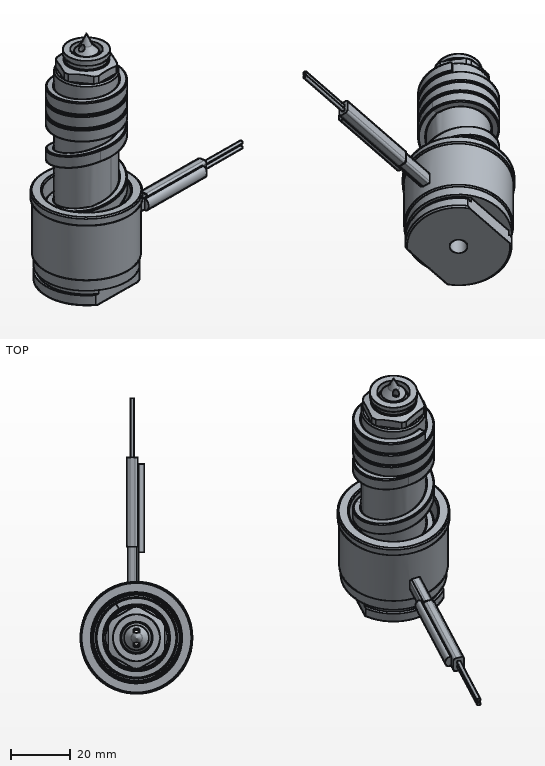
import cadquery as cq
import math

foot_radius = 18.0
foot_bevel = 0.6
lip_top = 4.2
undercut_radius = 17.0
shoulder_bottom = 6.1
flat_offset = 14.0

cup_radius = 18.5
cup_bottom = 10.1
cup_floor = 10.5
cup_top = 35.2
cup_bore_radius = 15.0
cup_edge = 0.5
collar_radius = 19.0
collar_bottom = 31.7

stem_radius = 11.0
stem_top = 82.3
stem_bevel = 0.6

hex_across_flats = 19.0
hex_turned_radius = 10.5
hex_rim_height = 85.2
hex_cone_height = 86.1

neck_radius = 7.5
neck_flare = 0.3
head_radius = 8.0
head_bottom = 88.1
head_top = 90.1
recess_radius = 5.5
recess_floor = 87.0

torpedo_foot_radius = 5.1
torpedo_radius = 4.2
torpedo_shoulder = 89.5
tip_base_radius = 1.9
tip_base = 92.1
tip_top = 96.2

bore_radius = 3.0
bore_top = 88.5
outlet_diameter = 2.2
outlet_offset = 2.4
outlet_height = 91.3
outlet_tilt = 20.0
outlet_reach = 4.5

coil_outer_radius = 13.8
coil_embed = 0.2
coil_root_radius = stem_radius - coil_embed
coil_band_height = 4.9
coil_edge = 0.4
coil_end_angle = 121.0
coil_end_height = 77.2
close_pitch = 5.3
open_pitch = 22.3
change_pitch = 15.0
change_turns = 1 / 3
coil_stretches = [
    (3 + 1 / 12, close_pitch),
    (change_turns, change_pitch),
    (1.03, open_pitch),
    (change_turns, change_pitch),
    (2.3, close_pitch),
]

lead_z = 17.2
cable_x = -1.4
cable_width = 3.2
cable_height = 5.2
cable_edge = 0.7
sleeve_width = 3.8
sleeve_height = 6.0
sleeve_edge = 1.0
sleeve_start = 30.8
sleeve_end = 61.0
wire_diameter = 1.3
wire_spacing = 1.9
lead_root = 16.5
overall_length = 100.0
wire_end = overall_length - collar_radius
sensor_x = 0.3
sensor_width = 1.1
sensor_height = 4.4
sensor_edge = 0.5
sensor_sleeve_x = 1.2
sensor_sleeve_width = 2.9
sensor_sleeve_height = 4.3
sensor_sleeve_start = 28.9
sensor_sleeve_end = 58.8


def revolve_profile(points):
    """Revolve an (r, z) outline about the Z axis."""
    return cq.Workplane("XZ").polyline(points).close().revolve(360, (0, 0), (0, 1))


def make_foot():
    foot = revolve_profile([
        (0, 0),
        (foot_radius - foot_bevel, 0),
        (foot_radius, foot_bevel),
        (foot_radius, lip_top),
        (undercut_radius, lip_top),
        (undercut_radius, shoulder_bottom),
        (0, shoulder_bottom),
    ])
    flats = cq.Workplane("XY").rect(2 * flat_offset, 2 * foot_radius).extrude(shoulder_bottom)
    return foot.intersect(flats)


def make_cup():
    return revolve_profile([
        (0, shoulder_bottom),
        (foot_radius, shoulder_bottom),
        (foot_radius, cup_bottom),
        (cup_radius, cup_bottom + cup_edge),
        (cup_radius, collar_bottom),
        (collar_radius, collar_bottom + cup_edge),
        (collar_radius, cup_top - cup_edge),
        (collar_radius - cup_edge, cup_top),
        (cup_bore_radius + cup_edge, cup_top),
        (cup_bore_radius, cup_top - cup_edge),
        (cup_bore_radius, cup_floor + cup_edge),
        (cup_bore_radius - cup_edge, cup_floor),
        (0, cup_floor),
    ])


def make_stem():
    return revolve_profile([
        (0, cup_floor),
        (stem_radius, cup_floor),
        (stem_radius, stem_top - stem_bevel),
        (stem_radius - stem_bevel, stem_top),
        (0, stem_top),
    ])


def make_hex():
    corner_diameter = hex_across_flats / math.cos(math.radians(30))
    prism = (
        cq.Workplane("XY", origin=(0, 0, stem_top))
        .transformed(rotate=(0, 0, 90))
        .polygon(6, corner_diameter)
        .extrude(hex_cone_height - stem_top)
    )
    turned = revolve_profile([
        (0, stem_top),
        (hex_turned_radius, stem_top),
        (hex_turned_radius, hex_rim_height),
        (neck_radius, hex_cone_height),
        (0, hex_cone_height),
    ])
    return prism.intersect(turned)


def make_head():
    return revolve_profile([
        (0, stem_top),
        (neck_radius + neck_flare, stem_top),
        (neck_radius + neck_flare, hex_cone_height),
        (neck_radius, hex_cone_height + neck_flare),
        (neck_radius, head_bottom - neck_flare),
        (head_radius, head_bottom),
        (head_radius, head_top),
        (recess_radius, head_top),
        (recess_radius, recess_floor),
        (torpedo_foot_radius, recess_floor),
        (torpedo_radius, torpedo_shoulder),
        (tip_base_radius, tip_base),
        (0, tip_top),
    ])


def make_coil_stretch(turns, pitch, top_angle, top_height):
    """Sweep one constant-pitch stretch of the band, ending at the given top angle and height."""
    rise = turns * pitch
    mean_radius = (coil_root_radius + coil_outer_radius) / 2
    half = coil_band_height / 2
    root_bevel = coil_edge + coil_embed
    path = cq.Wire.makeHelix(pitch, rise, mean_radius)
    band = (
        cq.Workplane("XZ")
        .polyline([
            (coil_root_radius, -half + root_bevel),
            (coil_root_radius + root_bevel, -half),
            (coil_outer_radius - coil_edge, -half),
            (coil_outer_radius, -half + coil_edge),
            (coil_outer_radius, half - coil_edge),
            (coil_outer_radius - coil_edge, half),
            (coil_root_radius + root_bevel, half),
            (coil_root_radius, half - root_bevel),
        ])
        .close()
        .sweep(cq.Workplane(path), isFrenet=True)
    )
    return band.rotate((0, 0, 0), (0, 0, 1), top_angle - 360 * turns).translate((0, 0, top_height - rise))


def lead_bar(x, z, width, height, edge_radius, start, end):
    """A bar along Y with rounded long edges, centred on the given X and Z."""
    bar = cq.Workplane("XZ", origin=(x, start, z)).rect(width, height).extrude(start - end)
    return bar.edges("|Y").fillet(edge_radius)


def lead_rod(x, z, width, height, start, end):
    """An elliptical or round rod along Y, centred on the given X and Z."""
    return cq.Workplane("XZ", origin=(x, start, z)).ellipse(width / 2, height / 2).extrude(start - end)


def make_leads():
    cable = lead_bar(cable_x, lead_z, cable_width, cable_height, cable_edge, lead_root, sleeve_end)
    sleeve = lead_bar(cable_x, lead_z, sleeve_width, sleeve_height, sleeve_edge, sleeve_start, sleeve_end)
    leads = cable.union(sleeve)
    for side in (-1, 1):
        wire_z = lead_z + side * wire_spacing / 2
        leads = leads.union(lead_rod(cable_x, wire_z, wire_diameter, wire_diameter, sleeve_start, wire_end))
    sensor = lead_bar(
        sensor_x,
        lead_z,
        sensor_width,
        sensor_height,
        sensor_edge,
        lead_root,
        sensor_sleeve_end,
    )
    sensor_sleeve = lead_rod(
        sensor_sleeve_x,
        lead_z,
        sensor_sleeve_width,
        sensor_sleeve_height,
        sensor_sleeve_start,
        sensor_sleeve_end,
    )
    return leads.union(sensor).union(sensor_sleeve)


def make_outlet(side):
    """A tilted outlet running from the torpedo cone down and inward to the bore."""
    tilt = math.radians(outlet_tilt)
    centre = cq.Vector(0, side * outlet_offset, outlet_height)
    inward = cq.Vector(0, -side * math.sin(tilt), -math.cos(tilt))
    start = centre - inward * outlet_reach
    return cq.Workplane(cq.Solid.makeCylinder(outlet_diameter / 2, 2 * outlet_reach, start, inward))


def wind_coil(body):
    """Fuse the stretches onto the body, from the top end of the coil downwards."""
    angle = coil_end_angle
    height = coil_end_height
    for turns, pitch in coil_stretches:
        body = body.union(make_coil_stretch(turns, pitch, angle, height))
        angle -= 360 * turns
        height -= turns * pitch
    return body


result = (
    make_foot()
    .union(make_cup())
    .union(make_stem())
    .union(make_hex())
    .union(make_head())
    .union(make_leads())
)
result = wind_coil(result)
result = result.cut(cq.Workplane("XY").circle(bore_radius).extrude(bore_top))
for side in (-1, 1):
    result = result.cut(make_outlet(side))